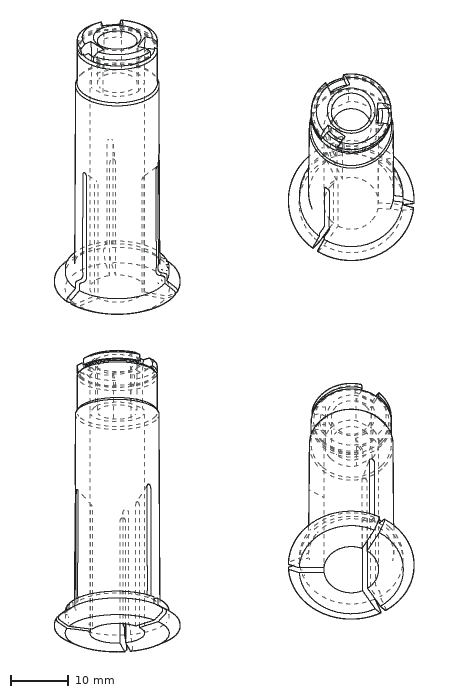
import cadquery as cq
import math


total_height = 50.5
cut_angles = (0, 120, 240)

flange_radius = 21.95 / 2
flange_base_radius = 9.1
flange_lower_corner_z = 1.1
flange_upper_corner_z = 1.8
flange_edge_fillet = 0.4

collar_radius = 9.05
collar_bottom_z = 3.15
collar_top_z = 4.5
collar_edge_fillet = 0.3

neck_radius = 7.4
neck_fillet = 0.6
neck_top_z = 5.7

body_bottom_radius = 7.45
body_bottom_z = 6.05
body_top_radius = 7.3
body_top_z = 40.9

shank_radius = 7.0
shank_bottom_z = 41.35
shank_top_bevel = 0.45

head_radius = 14.0 / 2
head_flat_radius = 12.2 / 2
head_bevel_height = 0.6
head_bottom_z = 48.75
groove_bottom_z = 48.5
groove_radius = shank_radius - shank_top_bevel

top_bore_radius = 6.9 / 2
top_bore_bevel = 0.7
main_bore_radius = 9.55 / 2

notch_inner_distance = 4.5
notch_top_width = 3.65
notch_floor_width = 3.15
relief_radius = 10.9 / 2
relief_bevel = relief_radius - main_bore_radius
main_bore_top_z = shank_bottom_z

slot_width = 1.0
slot_inner_distance = 2.5
slot_top_z = 26.05
slot_end_slope = 45.0

clearance = 0.5


def revolved(profile):
    """Turn a closed radius-height profile about the Z axis."""
    return profile.close().revolve(360, (0, 0, 0), (0, 1, 0))


def repeated(cutter):
    """Copies of a cutter at every cut angle."""
    copies = cq.Workplane()
    for angle in cut_angles:
        copies = copies.add(cutter.rotate((0, 0, 0), (0, 0, 1), angle))
    return copies.combine()


def make_flange():
    """Flange, round-edged collar and the concave fillet up to the neck."""
    fillet_diagonal = neck_fillet * (1 - math.sqrt(0.5))
    edge_diagonal = collar_edge_fillet * (1 - math.sqrt(0.5))
    flange = revolved(
        cq.Workplane("XZ")
        .lineTo(flange_base_radius, 0)
        .lineTo(flange_radius, flange_lower_corner_z)
        .lineTo(flange_radius, flange_upper_corner_z)
        .lineTo(collar_radius, collar_bottom_z)
        .lineTo(collar_radius, collar_top_z - collar_edge_fillet)
        .threePointArc(
            (collar_radius - edge_diagonal, collar_top_z - edge_diagonal),
            (collar_radius - collar_edge_fillet, collar_top_z),
        )
        .lineTo(neck_radius + neck_fillet, collar_top_z)
        .threePointArc(
            (neck_radius + fillet_diagonal, collar_top_z + fillet_diagonal),
            (neck_radius, collar_top_z + neck_fillet),
        )
        .lineTo(0, collar_top_z + neck_fillet)
    )
    rim_circles = flange.edges("%CIRCLE").edges(cq.selectors.RadiusNthSelector(-1))
    return rim_circles.fillet(flange_edge_fillet)


def make_barrel():
    """Neck, tapered body, shank, groove and bevelled head."""
    return revolved(
        cq.Workplane("XZ")
        .moveTo(0, collar_top_z)
        .lineTo(neck_radius, collar_top_z)
        .lineTo(neck_radius, neck_top_z)
        .lineTo(body_bottom_radius, body_bottom_z)
        .lineTo(body_top_radius, body_top_z)
        .lineTo(shank_radius, shank_bottom_z)
        .lineTo(shank_radius, groove_bottom_z - shank_top_bevel)
        .lineTo(groove_radius, groove_bottom_z)
        .lineTo(groove_radius, head_bottom_z)
        .lineTo(head_radius, head_bottom_z)
        .lineTo(head_radius, total_height - head_bevel_height)
        .lineTo(head_flat_radius, total_height)
        .lineTo(0, total_height)
    )


def make_bore():
    """Wide bore from the base, narrow bore through the head with a bevelled mouth."""
    return revolved(
        cq.Workplane("XZ")
        .lineTo(main_bore_radius, 0)
        .lineTo(main_bore_radius, main_bore_top_z)
        .lineTo(top_bore_radius, main_bore_top_z)
        .lineTo(top_bore_radius, total_height - top_bore_bevel)
        .lineTo(top_bore_radius + top_bore_bevel, total_height)
        .lineTo(0, total_height)
    )


def make_notch():
    """Head notch on +X with sloping sides, plus the bevelled relief below its floor."""
    notch_length = head_radius + clearance - notch_inner_distance
    notch = (
        cq.Workplane("YZ", origin=(notch_inner_distance, 0, 0))
        .moveTo(-notch_floor_width / 2, groove_bottom_z)
        .lineTo(notch_floor_width / 2, groove_bottom_z)
        .lineTo(notch_top_width / 2, total_height)
        .lineTo(-notch_top_width / 2, total_height)
        .close()
        .extrude(notch_length)
    )
    relief_cone = revolved(
        cq.Workplane("XZ")
        .moveTo(0, main_bore_top_z)
        .lineTo(main_bore_radius, main_bore_top_z)
        .lineTo(main_bore_radius, groove_bottom_z - relief_bevel)
        .lineTo(relief_radius, groove_bottom_z)
        .lineTo(0, groove_bottom_z)
    )
    relief_bounds = cq.Workplane(origin=(notch_inner_distance, 0, main_bore_top_z)).box(
        notch_length, notch_floor_width, groove_bottom_z - main_bore_top_z, centered=(False, True, False)
    )
    return notch.union(relief_cone.intersect(relief_bounds))


def make_slot():
    """Slot on +X from the base up, its round end sloping down towards the axis."""
    slope = math.radians(slot_end_slope)
    slot_radius = slot_width / 2
    outer_distance = flange_radius + clearance
    centre_z_at_body = slot_top_z - slot_radius / math.cos(slope)
    inner_z = centre_z_at_body - (body_bottom_radius - slot_inner_distance) * math.tan(slope)
    outer_z = centre_z_at_body + (outer_distance - body_bottom_radius) * math.tan(slope)
    web = (
        cq.Workplane("XZ", origin=(0, slot_radius, 0))
        .moveTo(slot_inner_distance, 0)
        .lineTo(outer_distance, 0)
        .lineTo(outer_distance, outer_z)
        .lineTo(slot_inner_distance, inner_z)
        .close()
        .extrude(slot_width)
    )
    round_end = cq.Workplane(
        cq.Solid.makeCylinder(
            slot_radius,
            math.hypot(outer_distance - slot_inner_distance, outer_z - inner_z),
            cq.Vector(slot_inner_distance, 0, inner_z),
            cq.Vector(math.cos(slope), 0, math.sin(slope)),
        )
    )
    return web.union(round_end)


result = (
    make_flange()
    .union(make_barrel())
    .cut(make_bore())
    .cut(repeated(make_notch()))
    .cut(repeated(make_slot()))
)